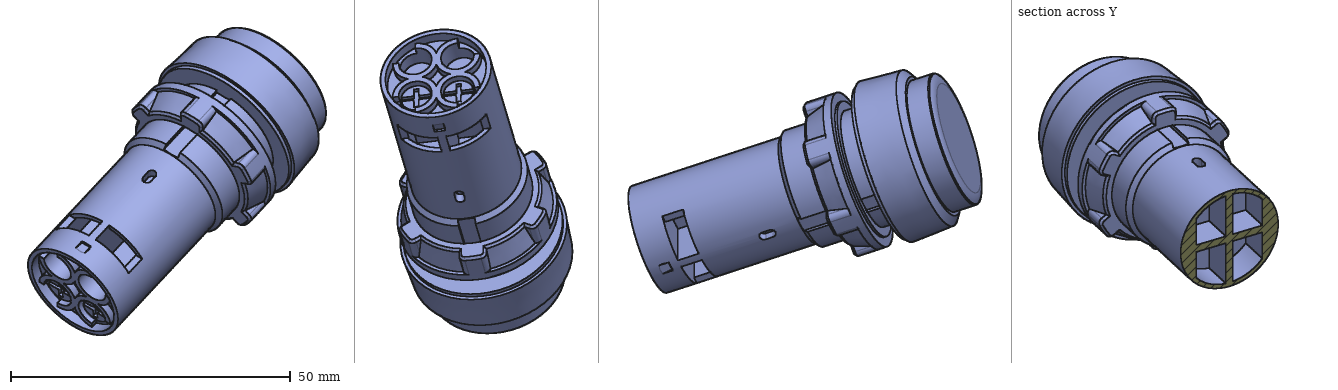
import cadquery as cq
import math

TOTAL_LENGTH = 59.7

TUBE_RADIUS = 20.2 / 2
BARREL_RADIUS = 11.0
BARREL_CHAMFER = BARREL_RADIUS - TUBE_RADIUS
BARREL_REAR_Y = 29.0
SEAT_RADIUS = 29.0 / 2
SEAT_REAR_Y = 45.0
BEZEL_REAR_RADIUS = 30.3 / 2
BEZEL_REAR_Y = 45.8
BEZEL_SHOULDER_RADIUS = 14.7
BEZEL_SHOULDER_Y = 53.7
BEZEL_FRONT_RADIUS = 13.1
BEZEL_FRONT_Y = 54.85

KEYWAY_WIDTH = 3.1
KEYWAY_FLOOR = 10.15

CAVITY_RADIUS = 18.3 / 2
CAVITY_DEPTH = 2.0
BOSS_SPACING = 7.7
BOSS_OFFSET = BOSS_SPACING / 2
BOSS_DIAMETER = 8.2
BOSS_END_Y = 0.55
TERMINAL_HOLE_DIAMETER = 6.0
WIRE_HOLE_DEPTH = 4.8
SCREW_HOLE_DEPTH = 2.4

SCREW_DIAMETER = 5.5
SCREW_HEIGHT = 0.9
SCREW_SLOT_WIDTH = 0.9
SCREW_SLOT_FILLET = 0.25
SCREW_SLOT_DEPTH = 0.7
SCREW_CROSS_LENGTH = 4.05

WINDOW_REAR_Y = 5.8
WINDOW_LENGTH = 4.0
WINDOW_INNER_X = 0.8
WINDOW_LEDGE_Z = 5.95
CHAMBER_OUTER_X = 6.75
CHAMBER_FLOOR_Z = 0.8
CHAMBER_LENGTH = 11.95

SLOT_WIDTH = 1.7
SLOT_LENGTH = 3.05
SLOT_MIDDLE_Y = 22.8
SLOT_DEPTH = 1.8
NOTCH_WIDTH = 1.95
NOTCH_REAR_Y = 2.0
NOTCH_FRONT_Y = 4.05
NOTCH_REAR_Z = TUBE_RADIUS
NOTCH_FRONT_Z = 9.6

LENS_RADIUS = 24.8 / 2
LENS_SEAT_Y = 51.35
LENS_EDGE_Y = 58.9
LENS_RIM_RADIUS = 12.25
LENS_RIM_Y = 59.15
LENS_FACE_RADIUS = 10.25

NUT_REAR_Y = 35.0
NUT_FLANGE_REAR_Y = 39.5
NUT_FLANGE_FRONT_Y = 41.05
NUT_FRONT_Y = 41.5
NUT_RADIUS = 29.0 / 2
NUT_STEP_RADIUS = 25.5 / 2
NUT_EDGE_RADIUS = 12.1
NUT_CONE_REAR_RADIUS = 25.1 / 2
NUT_CONE_FRONT_RADIUS = 13.85
NUT_EDGE_CHAMFER = NUT_CONE_REAR_RADIUS - NUT_EDGE_RADIUS
LUG_COUNT = 6
LUG_WIDTH = 4.95
LUG_CORNER_RADIUS = 2.2 / 2
LUG_CHAMFER = 0.5


def revolved(points):
    """Solid of revolution about Y from (radius, y) points."""
    return cq.Workplane("XY").polyline(points).close().revolve(360, (0, 0), (0, 1))


def cylinder(radius, start_y, length, x=0.0, z=0.0):
    """Cylinder along +Y with its axis at (x, z)."""
    plane = cq.Plane(origin=(x, start_y, z), xDir=(1, 0, 0), normal=(0, 1, 0))
    return cq.Workplane(plane).circle(radius).extrude(length)


def block(x_range, y_range, z_range):
    """Axis-aligned box between the given limits."""
    (x0, x1), (y0, y1), (z0, z1) = x_range, y_range, z_range
    return cq.Workplane("XY").box(x1 - x0, y1 - y0, z1 - z0, centered=False).translate((x0, y0, z0))


def mirrored_below(shape):
    """The shape together with its mirror image under the XY plane."""
    return shape.union(shape.mirror("XY"))


def housing_blank():
    return revolved([
        (0, 0),
        (TUBE_RADIUS, 0),
        (TUBE_RADIUS, BARREL_REAR_Y),
        (BARREL_RADIUS, BARREL_REAR_Y + BARREL_CHAMFER),
        (BARREL_RADIUS, SEAT_REAR_Y),
        (SEAT_RADIUS, SEAT_REAR_Y),
        (SEAT_RADIUS, BEZEL_REAR_Y),
        (BEZEL_REAR_RADIUS, BEZEL_REAR_Y),
        (BEZEL_SHOULDER_RADIUS, BEZEL_SHOULDER_Y),
        (BEZEL_FRONT_RADIUS, BEZEL_FRONT_Y),
        (0, BEZEL_FRONT_Y),
    ])


def keyways():
    half = KEYWAY_WIDTH / 2
    upper = block((-half, half), (BARREL_REAR_Y, SEAT_REAR_Y), (KEYWAY_FLOOR, BARREL_RADIUS + 0.6))
    return mirrored_below(upper)


def rear_cavity():
    """Open end of the tube, leaving bosses whose outward quarters are removed."""
    cavity = cylinder(CAVITY_RADIUS, 0, CAVITY_DEPTH)
    boss_length = CAVITY_DEPTH - BOSS_END_Y
    for x_side in (-1, 1):
        for z_side in (-1, 1):
            x = x_side * BOSS_OFFSET
            z = z_side * BOSS_OFFSET
            quarter = block(
                sorted((x, x + x_side * BOSS_DIAMETER)),
                (0, CAVITY_DEPTH),
                sorted((z, z + z_side * BOSS_DIAMETER)),
            )
            boss = cylinder(BOSS_DIAMETER / 2, BOSS_END_Y, boss_length, x, z)
            cavity = cavity.cut(boss.cut(quarter))
    return cavity


def terminal_hole(x, z, depth):
    return cylinder(TERMINAL_HOLE_DIAMETER / 2, 0, depth, x, z)


def screw_head(x, z):
    """Cross-slotted head; one arm of the cross runs right across it."""
    face_y = SCREW_HOLE_DEPTH - SCREW_HEIGHT
    slot_y = (face_y, face_y + SCREW_SLOT_DEPTH)
    half_width = SCREW_SLOT_WIDTH / 2
    half_cross = SCREW_CROSS_LENGTH / 2
    half_head = SCREW_DIAMETER / 2
    head = cylinder(half_head, face_y, SCREW_HEIGHT, x, z)
    long_slot = block((x - half_head, x + half_head), slot_y, (z - half_width, z + half_width))
    short_slot = block((x - half_width, x + half_width), slot_y, (z - half_cross, z + half_cross))
    inner_corners = cq.selectors.BoxSelector(
        (x - half_cross / 2, face_y, z - half_cross / 2),
        (x + half_cross / 2, face_y + SCREW_SLOT_DEPTH, z + half_cross / 2),
    )
    cross = long_slot.union(short_slot).edges("|Y").edges(inner_corners).fillet(SCREW_SLOT_FILLET)
    return head.cut(cross)


def terminal_windows():
    """Wall openings with a ledge, each leading to a chamber along the tube."""
    opening = block(
        (WINDOW_INNER_X, TUBE_RADIUS),
        (WINDOW_REAR_Y, WINDOW_REAR_Y + WINDOW_LENGTH),
        (WINDOW_LEDGE_Z, TUBE_RADIUS + 0.6),
    )
    chamber = block(
        (WINDOW_INNER_X, CHAMBER_OUTER_X),
        (WINDOW_REAR_Y, WINDOW_REAR_Y + CHAMBER_LENGTH),
        (CHAMBER_FLOOR_Z, TUBE_RADIUS),
    ).intersect(cylinder(CAVITY_RADIUS, WINDOW_REAR_Y, CHAMBER_LENGTH))
    right_window = mirrored_below(opening.union(chamber))
    return right_window.union(right_window.mirror("YZ"))


def locating_slots():
    upper = (
        cq.Workplane("XY", origin=(0, SLOT_MIDDLE_Y, TUBE_RADIUS - SLOT_DEPTH))
        .slot2D(SLOT_LENGTH, SLOT_WIDTH, 90)
        .extrude(SLOT_DEPTH + 0.6)
    )
    return mirrored_below(upper)


def snap_notches():
    """Shallow notches whose floors slope down toward +Y."""
    upper = (
        cq.Workplane("YZ")
        .polyline([
            (NOTCH_REAR_Y, NOTCH_REAR_Z),
            (NOTCH_FRONT_Y, NOTCH_FRONT_Z),
            (NOTCH_FRONT_Y, TUBE_RADIUS + 0.6),
            (NOTCH_REAR_Y, TUBE_RADIUS + 0.6),
        ])
        .close()
        .extrude(NOTCH_WIDTH / 2, both=True)
    )
    return mirrored_below(upper)


def make_lens():
    return (
        cq.Workplane("XY")
        .moveTo(0, TOTAL_LENGTH)
        .lineTo(LENS_FACE_RADIUS, TOTAL_LENGTH)
        .tangentArcPoint((LENS_RIM_RADIUS, LENS_RIM_Y), relative=False)
        .lineTo(LENS_RADIUS, LENS_EDGE_Y)
        .lineTo(LENS_RADIUS, LENS_SEAT_Y)
        .lineTo(0, LENS_SEAT_Y)
        .close()
        .revolve(360, (0, 0), (0, 1))
    )


def make_housing():
    housing = housing_blank().cut(keyways()).cut(rear_cavity())
    for x in (-BOSS_OFFSET, BOSS_OFFSET):
        housing = housing.cut(terminal_hole(x, BOSS_OFFSET, WIRE_HOLE_DEPTH))
        housing = housing.cut(terminal_hole(x, -BOSS_OFFSET, SCREW_HOLE_DEPTH))
        housing = housing.union(screw_head(x, -BOSS_OFFSET))
    housing = housing.cut(terminal_windows()).cut(locating_slots()).cut(snap_notches())
    lens_recess = cylinder(LENS_RADIUS, LENS_SEAT_Y, BEZEL_FRONT_Y - LENS_SEAT_Y)
    return housing.cut(lens_recess)


def make_lug():
    """Gripping lug on the +Z side, rounded outside and chamfered at its rear."""
    half = LUG_WIDTH / 2
    outer_corner = math.sqrt(NUT_RADIUS**2 - half**2)
    rear_plane = cq.Plane(origin=(0, NUT_REAR_Y, 0), xDir=(-1, 0, 0), normal=(0, 1, 0))
    return (
        cq.Workplane(rear_plane)
        .moveTo(-half, BARREL_RADIUS)
        .lineTo(half, BARREL_RADIUS)
        .lineTo(half, outer_corner)
        .threePointArc((0, NUT_RADIUS), (-half, outer_corner))
        .close()
        .extrude(NUT_FLANGE_FRONT_Y - NUT_REAR_Y)
        .edges("|Y")
        .edges(">Z")
        .fillet(LUG_CORNER_RADIUS)
        .faces("<Y")
        .chamfer(LUG_CHAMFER)
    )


def nut_blank():
    """Nut before its pockets are cut: a full rim with a step at the front."""
    return revolved([
        (BARREL_RADIUS, NUT_REAR_Y),
        (NUT_RADIUS, NUT_REAR_Y),
        (NUT_RADIUS, NUT_FLANGE_FRONT_Y),
        (NUT_STEP_RADIUS, NUT_FLANGE_FRONT_Y),
        (NUT_STEP_RADIUS, NUT_FRONT_Y),
        (BARREL_RADIUS, NUT_FRONT_Y),
    ])


def nut_pockets():
    """Space around the conical hub, behind the flange, left free by the lugs."""
    pockets = revolved([
        (NUT_EDGE_RADIUS, NUT_REAR_Y),
        (NUT_CONE_REAR_RADIUS, NUT_REAR_Y + NUT_EDGE_CHAMFER),
        (NUT_CONE_FRONT_RADIUS, NUT_FLANGE_REAR_Y),
        (NUT_RADIUS, NUT_FLANGE_REAR_Y),
        (NUT_RADIUS, NUT_REAR_Y),
    ])
    lug = make_lug()
    for index in range(LUG_COUNT):
        pockets = pockets.cut(lug.rotate((0, 0, 0), (0, 1, 0), index * 360 / LUG_COUNT))
    return pockets


def make_nut():
    return nut_blank().cut(nut_pockets())


housing = make_housing()
lens = make_lens()
nut = make_nut()

result = cq.Compound.makeCompound([housing.val(), lens.val(), nut.val()])